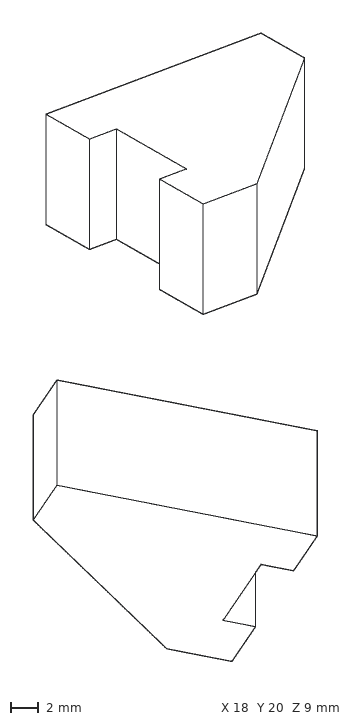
import cadquery as cq

width = 18.0
depth = 20.0
thickness = 9.0

end_width = 5.0

slot_width = width - 2 * end_width
slot_depth = 2.5


def wedge_body():
    """Right-angled wedge plate with both sharp ends cut square."""
    outline = [
        (0, 0),
        (width, 0),
        (width, end_width),
        (end_width, depth),
        (0, depth),
    ]
    return cq.Workplane("XY").polyline(outline).close().extrude(thickness)


def foot_slot():
    """Rectangular slot through the full thickness, leaving a foot on each side."""
    return (
        cq.Workplane("XY")
        .box(slot_width, slot_depth, thickness, centered=False)
        .translate((end_width, 0, 0))
    )


result = wedge_body().cut(foot_slot())